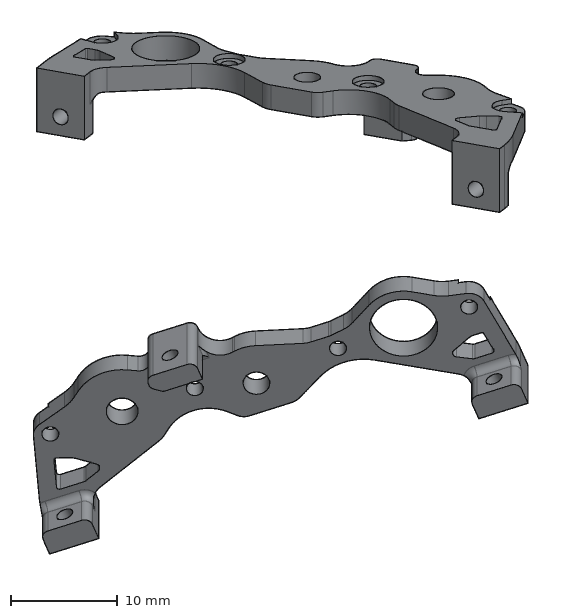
import cadquery as cq
import math

LENGTH = 48.0
DEPTH = 15.8
PLATE_THICKNESS = 2.5
FOOT_HEIGHT = 6.45
TAB_HEIGHT = 7.0

FOOT_WIDTH = 4.95
FOOT_DEPTH = 2.5
CORNER_RADIUS = 0.75
TAB_LEFT = 27.45
TAB_RIGHT = TAB_LEFT + FOOT_WIDTH
TAB_DEPTH = 2.05
TAB_BEVEL_WIDTH = 1.0
TAB_BEVEL_ANGLE = 38.0
TAB_SIDE_FILLET = 0.4
ROOT_FILLET = 0.75
BLANK_MARGIN = 2.4
ROOT_REACH = 0.5
LEG_HOLE_Z = -4.5

SCREW_DIAMETER = 1.6
COUNTERBORE_DIAMETER = 3.0
COUNTERBORE_DEPTH = 0.5
LEFT_ROW_Y = 9.65
RIGHT_ROW_Y = 10.2
SCREW_CENTERS = [(2.25, LEFT_ROW_Y), (15.4, LEFT_ROW_Y), (29.55, RIGHT_ROW_Y), (44.05, RIGHT_ROW_Y)]
LEFT_RUNOUT_ANGLES = (135, 168)
RIGHT_RUNOUT_ANGLES = (14, 47)
RUNOUT_LENGTH = 2.4
BEARING_CENTER = (8.85, LEFT_ROW_Y)
BEARING_DIAMETER = 6.4
MIDDLE_CENTER = (23.95, 8.7)
MIDDLE_DIAMETER = 2.5
PIVOT_CENTER = (36.85, RIGHT_ROW_Y)
PIVOT_DIAMETER = 3.0

SCREW_WALL = 0.8
BEARING_WALL = 0.9
BOSS_RADIUS = SCREW_DIAMETER / 2 + SCREW_WALL
BEARING_RIM_RADIUS = BEARING_DIAMETER / 2 + BEARING_WALL
END_RADIUS = 10.0
FOOT_BLEND_RADIUS = 2.0

OUTLINE = [
    (0, 0, 0),
    (FOOT_WIDTH, 0, 0),
    (FOOT_WIDTH, 2.35, FOOT_BLEND_RADIUS),
    (15.35, 8.9, 5.3),
    (21.15, 5.45, 1.9),
    (26.5, 5.45, 1.45),
    (30.4, 9.45, 4.2),
    (34.4, 6.0, 2.9),
    (LENGTH - FOOT_WIDTH, 2.4, FOOT_BLEND_RADIUS),
    (LENGTH - FOOT_WIDTH, 0, 0),
    (LENGTH, 0, 0),
    (LENGTH, 2.45, END_RADIUS),
    (45.4, 11.3, BOSS_RADIUS),
    (41.05, 12.8, 3.85),
    (37.55, 15.8, 4.7),
    (TAB_RIGHT, 13.2, 1.0),
    (TAB_RIGHT, DEPTH, CORNER_RADIUS),
    (TAB_LEFT, DEPTH, CORNER_RADIUS),
    (TAB_LEFT, 12.25, 2.2),
    (23.55, 13.0, 4.2),
    (17.9, 11.25, 2.4),
    (15.65, 11.25, BOSS_RADIUS),
    (13.65, 11.55, 2.9),
    (8.8, 14.5, BEARING_RIM_RADIUS),
    (4.25, 11.65, 3.85),
    (0.8, 10.95, BOSS_RADIUS),
    (0, 2.55, END_RADIUS),
]

LEFT_WINDOW = [
    (1.8, 4.05, 0.3),
    (3.95, 4.05, 0.5),
    (6.1, 5.25, 0.45),
    (3.25, 6.55, 1.45),
    (2.05, 6.55, 0.15),
]

RIGHT_WINDOW = [
    (40.6, 5.0, 0.5),
    (42.9, 4.05, 0.5),
    (45.75, 4.05, 0.3),
    (44.75, 7.55, 0.3),
    (43.0, 6.9, 1.9),
]


def corner_points(before, corner, after):
    """Start, middle and end of the arc that rounds a corner (one point when it is sharp)."""
    x, y, radius = corner
    if radius == 0:
        return [(x, y)]
    to_before = math.atan2(before[1] - y, before[0] - x)
    to_after = math.atan2(after[1] - y, after[0] - x)
    turn = math.remainder(to_after - to_before, math.tau)
    half_angle = abs(turn) / 2
    bisector = to_before + turn / 2
    tangent_length = radius / math.tan(half_angle)
    middle_distance = radius / math.sin(half_angle) - radius
    spokes = [
        (to_before, tangent_length),
        (bisector, middle_distance),
        (to_after, tangent_length),
    ]
    return [(x + reach * math.cos(angle), y + reach * math.sin(angle)) for angle, reach in spokes]


def rounded_prism(corners, height):
    """Prism from Z = 0 downward on a polygon with rounded corners; the first one may be round too."""
    count = len(corners)
    rounded = [
        corner_points(corners[i - 1], corners[i], corners[(i + 1) % count]) for i in range(count)
    ]
    sketch = cq.Workplane("XY").moveTo(*rounded[0][-1])
    for points in rounded[1:] + rounded[:1]:
        sketch = sketch.lineTo(*points[0])
        if len(points) > 1:
            sketch = sketch.threePointArc(points[1], points[2])
    return sketch.close().extrude(-height)


def vertical_hole(center, diameter, depth):
    return cq.Workplane("XY").center(*center).circle(diameter / 2).extrude(-depth)


def runout(center, angle):
    """Straight continuation of a counterbore from its center through the plate edge."""
    slot = cq.Workplane("XY").rect(RUNOUT_LENGTH, COUNTERBORE_DIAMETER).extrude(-COUNTERBORE_DEPTH)
    slot = slot.translate((RUNOUT_LENGTH / 2, 0, 0)).rotate((0, 0, 0), (0, 0, 1), angle)
    return slot.translate((*center, 0))


def slab_over(left, front, width, depth):
    """Oversize piece of plate above a leg, so that the leg can be filleted into its underside."""
    slab = cq.Workplane("XY").box(
        width + 2 * BLANK_MARGIN, depth + 2 * BLANK_MARGIN, PLATE_THICKNESS, centered=False
    )
    return slab.translate((left - BLANK_MARGIN, front - BLANK_MARGIN, -PLATE_THICKNESS))


def foot(left):
    """Foot at one end of the part, filleted all round into an oversize slab."""
    block = cq.Workplane("XY").box(FOOT_WIDTH, FOOT_DEPTH, FOOT_HEIGHT, centered=False)
    block = block.edges("|Z and >Y").fillet(CORNER_RADIUS).translate((left, 0, -FOOT_HEIGHT))
    blank = block.union(slab_over(left, 0, FOOT_WIDTH, FOOT_DEPTH))
    root = cq.selectors.BoxSelector(
        (left - ROOT_REACH, -ROOT_REACH, -PLATE_THICKNESS - ROOT_REACH),
        (left + FOOT_WIDTH + ROOT_REACH, FOOT_DEPTH + ROOT_REACH, -PLATE_THICKNESS + ROOT_REACH),
    )
    return blank.edges(root).fillet(ROOT_FILLET)


def tab_leg():
    """Leg under the rear tab, filleted on its front and left and beveled at its inner corner."""
    front = DEPTH - TAB_DEPTH
    middle_x = TAB_LEFT + FOOT_WIDTH / 2
    block = cq.Workplane("XY").box(FOOT_WIDTH, TAB_DEPTH, TAB_HEIGHT, centered=False)
    block = block.translate((TAB_LEFT, front, -TAB_HEIGHT))
    blank = block.union(slab_over(TAB_LEFT, front, FOOT_WIDTH, TAB_DEPTH))
    front_root = cq.selectors.NearestToPointSelector((middle_x, front, -PLATE_THICKNESS))
    blank = blank.edges(front_root).fillet(ROOT_FILLET)
    side_root = cq.selectors.NearestToPointSelector((TAB_LEFT, front + TAB_DEPTH / 2, -PLATE_THICKNESS))
    blank = blank.edges(side_root).fillet(TAB_SIDE_FILLET)

    slope = math.tan(math.radians(TAB_BEVEL_ANGLE))
    bevel_front = front - BLANK_MARGIN
    bevel_start = TAB_RIGHT - TAB_BEVEL_WIDTH - BLANK_MARGIN / slope
    plan = [
        (TAB_LEFT - BLANK_MARGIN, bevel_front, 0),
        (bevel_start, bevel_front, 0),
        (TAB_RIGHT, front + TAB_BEVEL_WIDTH * slope, CORNER_RADIUS),
        (TAB_RIGHT, DEPTH, 0),
        (TAB_LEFT - BLANK_MARGIN, DEPTH, 0),
    ]
    return blank.intersect(rounded_prism(plan, TAB_HEIGHT))


plate = rounded_prism(OUTLINE, PLATE_THICKNESS)
leg_limits = rounded_prism(OUTLINE, TAB_HEIGHT)
result = plate
for leg in (foot(0), foot(LENGTH - FOOT_WIDTH), tab_leg()):
    result = result.union(leg.intersect(leg_limits))

for window in (LEFT_WINDOW, RIGHT_WINDOW):
    result = result.cut(rounded_prism(window, PLATE_THICKNESS))

for screw_center in SCREW_CENTERS:
    result = result.cut(vertical_hole(screw_center, SCREW_DIAMETER, PLATE_THICKNESS))
    result = result.cut(vertical_hole(screw_center, COUNTERBORE_DIAMETER, COUNTERBORE_DEPTH))

for angle in LEFT_RUNOUT_ANGLES:
    result = result.cut(runout(SCREW_CENTERS[0], angle))
for angle in RIGHT_RUNOUT_ANGLES:
    result = result.cut(runout(SCREW_CENTERS[-1], angle))

result = result.cut(vertical_hole(BEARING_CENTER, BEARING_DIAMETER, PLATE_THICKNESS))
result = result.cut(vertical_hole(MIDDLE_CENTER, MIDDLE_DIAMETER, PLATE_THICKNESS))
result = result.cut(vertical_hole(PIVOT_CENTER, PIVOT_DIAMETER, PLATE_THICKNESS))

for hole_x in (FOOT_WIDTH / 2, (TAB_LEFT + TAB_RIGHT) / 2, LENGTH - FOOT_WIDTH / 2):
    leg_hole = cq.Workplane("XZ").center(hole_x, LEG_HOLE_Z).circle(SCREW_DIAMETER / 2).extrude(-DEPTH)
    result = result.cut(leg_hole)